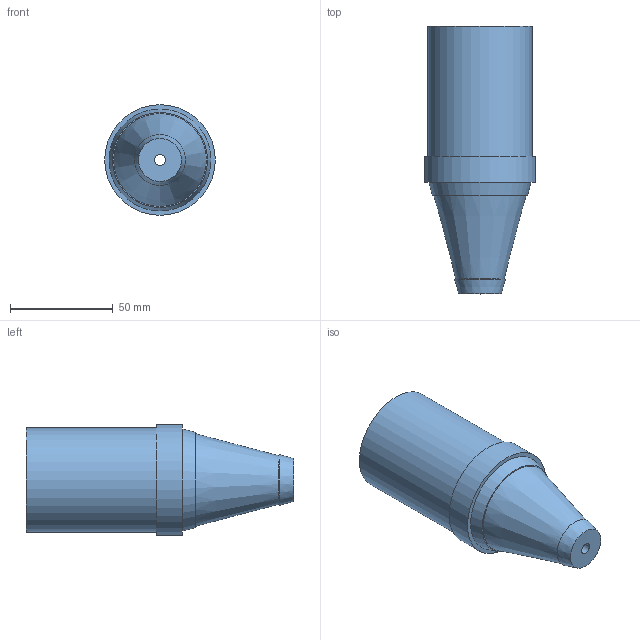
import cadquery as cq

overall_length = 130.61
body_diameter = 50.8
body_length = 63.5
collar_diameter = 53.98
collar_length = 12.7

shoulder_length = 6.35
shoulder_diameter = 49.7
tip_diameter = 20.9
tip_band_length = 7.2
recess_depth = 0.6
recess_edge_length = 0.25
bore_diameter = 5.4

nose_length = overall_length - body_length - collar_length
collar_back = nose_length + collar_length
shoulder_front = nose_length - shoulder_length
recess_front = tip_band_length + recess_edge_length
taper = (shoulder_diameter - tip_diameter) / 2 / nose_length


def nose_radius(distance_from_tip):
    """Radius of the full nose taper at a distance behind the tip face."""
    return tip_diameter / 2 + taper * distance_from_tip


def make_turned_body():
    """Revolve the outer half-profile, drawn as (Y, radius), about the Y axis."""
    profile = [
        (0, 0),
        (0, nose_radius(0)),
        (tip_band_length, nose_radius(tip_band_length)),
        (recess_front, nose_radius(recess_front) - recess_depth),
        (shoulder_front, nose_radius(shoulder_front) - recess_depth),
        (shoulder_front, nose_radius(shoulder_front)),
        (nose_length, nose_radius(nose_length)),
        (nose_length, collar_diameter / 2),
        (collar_back, collar_diameter / 2),
        (collar_back, body_diameter / 2),
        (overall_length, body_diameter / 2),
        (overall_length, 0),
    ]
    return cq.Workplane("YZ").polyline(profile).close().revolve(360, (0, 0, 0), (1, 0, 0))


def make_bore():
    """Plain hole along the whole axis."""
    return cq.Workplane("XZ").circle(bore_diameter / 2).extrude(-overall_length)


result = make_turned_body().cut(make_bore())